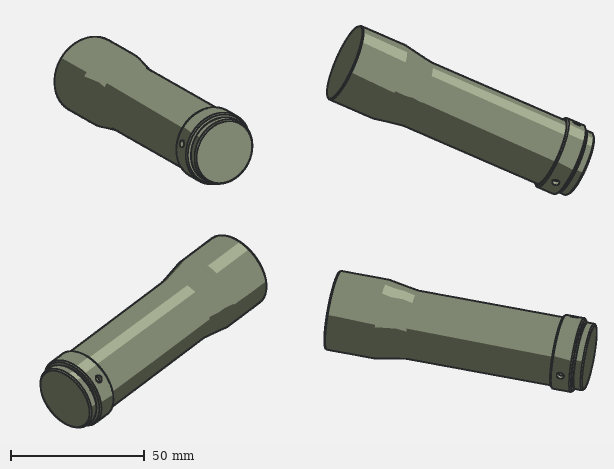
import cadquery as cq

length = 98.3
head_radius = 30.0 / 2
head_length = 18.7
head_chamfer_length = 0.5
head_chamfer_height = 0.3
tube_radius = 13.0
taper_end = 30.4
taper_sag = 0.05

collar_start = 86.2
collar_end = 94.2
collar_radius = 14.1
collar_chamfer = 0.6

neck_radius = 12.1
rim_start = 95.0
rim_radius = 12.7
rim_chamfer = 0.6

hole_diameter = 2.8
hole_depth = 2.0
hole_point_depth = 0.8
hole_count = 3
first_hole_angle = 14.0


def turned_body():
    """Revolve the half profile of head, taper, tube, collar, neck and rim."""
    taper_middle = (
        (head_length + taper_end) / 2,
        (head_radius + tube_radius) / 2 - taper_sag,
    )
    profile = (
        cq.Workplane("XY")
        .lineTo(0, head_radius - head_chamfer_height)
        .lineTo(head_chamfer_length, head_radius)
        .lineTo(head_length, head_radius)
        .threePointArc(taper_middle, (taper_end, tube_radius))
        .lineTo(collar_start, tube_radius)
        .lineTo(collar_start, collar_radius - collar_chamfer)
        .lineTo(collar_start + collar_chamfer, collar_radius)
        .lineTo(collar_end - collar_chamfer, collar_radius)
        .lineTo(collar_end, collar_radius - collar_chamfer)
        .lineTo(collar_end, neck_radius)
        .lineTo(rim_start, neck_radius)
        .lineTo(rim_start, rim_radius)
        .lineTo(length - rim_chamfer, rim_radius)
        .lineTo(length, rim_radius - rim_chamfer)
        .lineTo(length, 0)
        .close()
    )
    return profile.revolve(360, (0, 0, 0), (1, 0, 0))


def collar_hole(angle):
    """Blind radial hole with a drill point, at an angle from -Y towards +Z."""
    radius = hole_diameter / 2
    floor_radius = collar_radius - hole_depth
    half_profile = (
        cq.Workplane("XZ")
        .moveTo(0, floor_radius - hole_point_depth)
        .lineTo(radius, floor_radius)
        .lineTo(radius, collar_radius + hole_depth)
        .lineTo(0, collar_radius + hole_depth)
        .close()
    )
    drill = half_profile.revolve(360, (0, 0, 0), (0, 1, 0))
    drill = drill.rotate((0, 0, 0), (1, 0, 0), 90 - angle)
    return drill.translate(((collar_start + collar_end) / 2, 0, 0))


result = turned_body()
for index in range(hole_count):
    result = result.cut(collar_hole(first_hole_angle + index * 360 / hole_count))